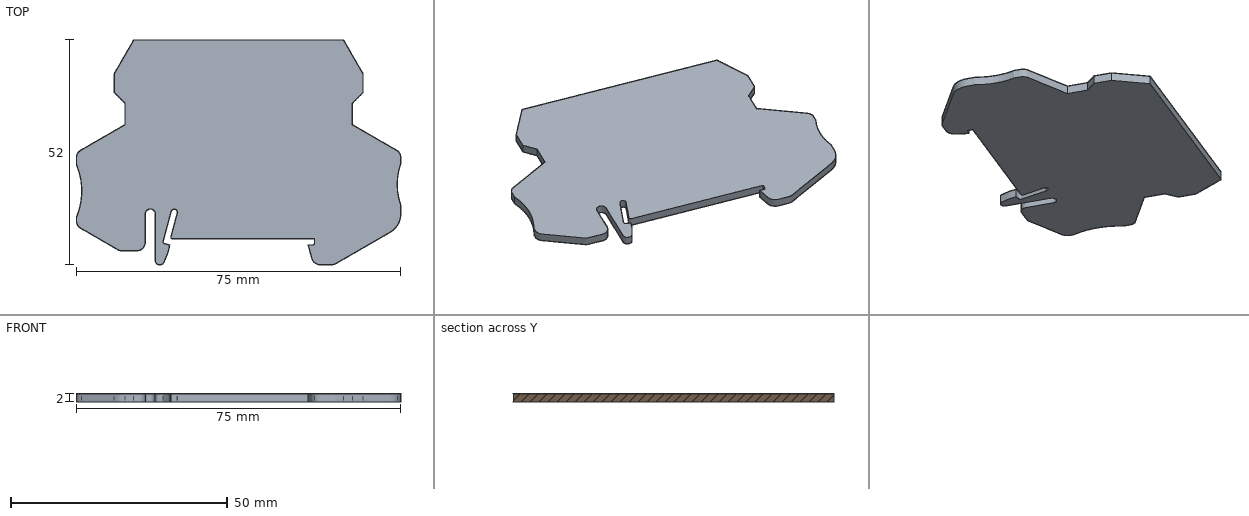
import math
import cadquery as cq

length = 75.0
height = 52.0
thickness = 2.0
right_x = length / 2
left_x = -right_x
top_y = height / 2
bottom_y = -top_y

top_half_width = 24.25
shoulder_half_width = 28.8
neck_half_width = 26.3
shoulder_height = 4.25
shoulder_slope = math.tan(math.radians(60))
neck_foot_y = 6.4

flank_slope = math.tan(math.radians(30))
flank_radius = 2.0
lower_right_flank_radius = 5.0
left_scallop = (-2.8, -15.0, 1.22)
right_scallop = (-2.6, -12.2, 0.83)

foot_y = -22.75
foot_left_x = -27.5
foot_bend_radius = 1.5
foot_corner_radius = 2.0

slot_left_x = -21.55
slot_width = 2.27
slot_top_y = -13.1

finger_left_x = slot_left_x + slot_width
finger_tip_x = -17.5
finger_tip_radius = 1.0
finger_nose_bend = (-16.35, -23.3)
finger_nose_radius = 6.0
barb_x = -15.9
barb_y = -21.4
slant = math.radians(15)
slant_slot_width = 1.42
slant_slot_end = (-14.9, -13.87)
small_radius = 0.4

rail_y = -20.0
rail_right_x = 17.5
hook_x = 16.05
hook_y = -21.4
hook_toe_x = 17.3
hook_toe_radius = 2.1
hook_heel_x = 22.0
hook_heel_radius = 2.3


def corner_arc(before, corner, after, radius):
    """Start, middle and end of the arc that rounds a corner."""
    ahead = cq.Vector(*after) - cq.Vector(*corner)
    back = cq.Vector(*before) - cq.Vector(*corner)
    half_angle = back.getAngle(ahead) / 2
    setback = radius / math.tan(half_angle)
    bisector = (back.normalized() + ahead.normalized()).normalized()
    point = cq.Vector(*corner)
    start = point + back.normalized() * setback
    middle = point + bisector * (radius / math.sin(half_angle) - radius)
    end = point + ahead.normalized() * setback
    return start, middle, end


def rounded_plate(corners):
    """Plate from a closed list of (x, y, corner radius); radius 0 is sharp."""
    points = [(x, y) for x, y, _ in corners]
    outline = cq.Workplane("XY").moveTo(*points[0])
    for i in range(1, len(corners)):
        radius = corners[i][2]
        if radius == 0:
            outline = outline.lineTo(*points[i])
            continue
        after = points[(i + 1) % len(points)]
        start, middle, end = corner_arc(points[i - 1], points[i], after, radius)
        outline = outline.lineTo(start.x, start.y)
        outline = outline.threePointArc((middle.x, middle.y), (end.x, end.y))
    return outline.close().extrude(thickness)


def neck_corners(side):
    """One side of the neck from the top edge down; side is -1 left, +1 right."""
    top_x = side * top_half_width
    shoulder_x = side * shoulder_half_width
    neck_x = side * neck_half_width
    shoulder_drop = (shoulder_half_width - top_half_width) * shoulder_slope
    shoulder_top_y = top_y - shoulder_drop
    shoulder_bottom_y = shoulder_top_y - shoulder_height
    neck_top_y = shoulder_bottom_y - (shoulder_half_width - neck_half_width)
    flank_x = side * right_x
    flank_y = neck_foot_y - abs(flank_x - neck_x) * flank_slope
    return [
        (top_x, top_y, 0),
        (shoulder_x, shoulder_top_y, 0),
        (shoulder_x, shoulder_bottom_y, 0),
        (neck_x, neck_top_y, 0),
        (neck_x, neck_foot_y, 0),
        (flank_x, flank_y, flank_radius),
    ]


def foot_corners():
    """Left foot, from the flank to the wall of the straight slot."""
    flank_y = foot_y + (foot_left_x - left_x) * flank_slope
    return [
        (left_x, flank_y, flank_radius),
        (foot_left_x, foot_y, foot_bend_radius),
        (slot_left_x, foot_y, foot_corner_radius),
    ]


def slant_wall_x(side, y):
    """X of the left (-1) or right (+1) wall of the slanted slot at height y."""
    end_x, end_y = slant_slot_end
    half_width_x = slant_slot_width / 2 / math.cos(slant)
    return end_x + side * half_width_x + (y - end_y) * math.tan(slant)


def finger_corners():
    """Snap finger below the plate, from its tip to the rail recess edge."""
    ledge_run = (barb_x - slant_wall_x(-1, barb_y)) * math.cos(slant)
    ledge_x = barb_x - ledge_run * math.cos(slant)
    ledge_y = barb_y + ledge_run * math.sin(slant)
    end_x, end_y = slant_slot_end
    return [
        (finger_left_x, bottom_y, finger_tip_radius),
        (finger_tip_x, bottom_y, finger_tip_radius),
        (*finger_nose_bend, finger_nose_radius),
        (barb_x, barb_y, 0),
        (ledge_x, ledge_y, small_radius),
        (slant_wall_x(-1, end_y), end_y, 0),
        (slant_wall_x(1, end_y), end_y, 0),
        (slant_wall_x(1, rail_y), rail_y, small_radius),
    ]


def hook_corners():
    """Rail recess end, fixed hook and lower right flank."""
    flank_y = bottom_y + (right_x - hook_heel_x) * flank_slope
    return [
        (rail_right_x, rail_y, 0),
        (rail_right_x, hook_y, small_radius),
        (hook_x, hook_y, 0),
        (hook_toe_x, bottom_y, hook_toe_radius),
        (hook_heel_x, bottom_y, hook_heel_radius),
        (right_x, flank_y, lower_right_flank_radius),
    ]


def slot_round(x, y, width):
    """Cylinder that rounds the closed end of a slot."""
    return cq.Workplane("XY").center(x, y).circle(width / 2).extrude(thickness)


def scallop(side, upper_y, lower_y, depth):
    """Cylinder that hollows a flank over the given span and depth."""
    half_span = (upper_y - lower_y) / 2
    radius = (half_span**2 + depth**2) / (2 * depth)
    centre_x = side * (right_x - depth + radius)
    centre_y = (upper_y + lower_y) / 2
    return cq.Workplane("XY").center(centre_x, centre_y).circle(radius).extrude(thickness)


slot_end_y = slot_top_y - slot_width / 2
slot_corners = [
    (slot_left_x, slot_end_y, 0),
    (finger_left_x, slot_end_y, 0),
]
left_side = neck_corners(-1) + foot_corners()
right_side = hook_corners() + neck_corners(1)[::-1]

plate = rounded_plate(left_side + slot_corners + finger_corners() + right_side)
plate = plate.cut(slot_round(slot_left_x + slot_width / 2, slot_end_y, slot_width))
plate = plate.cut(slot_round(*slant_slot_end, slant_slot_width))
plate = plate.cut(scallop(-1, *left_scallop))
result = plate.cut(scallop(1, *right_scallop))